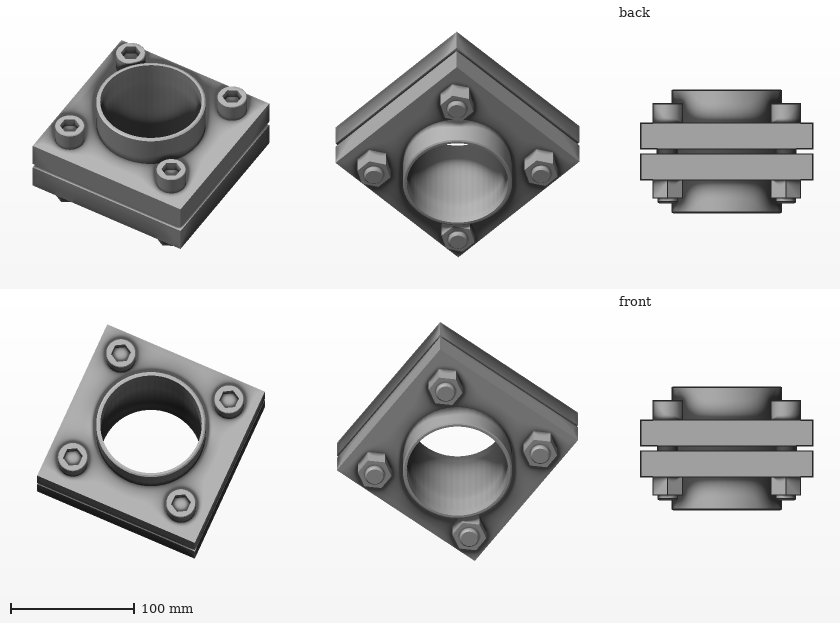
import cadquery as cq
import math

flange_side = 140.0
flange_thickness = 21.0
flange_gap = 4.0
ring_diameter = 113.0

overall_height = 100.0
pipe_diameter = 88.9
bore_diameter = 82.5
rim_chamfer_height = 0.7
rim_chamfer_width = 1.3

bolt_spacing = 96.0
bolt_diameter = 16.0
bolt_end_chamfer = 1.3
bolt_protrusion = 4.0
head_diameter = 24.0
head_height = 16.0
head_chamfer = 0.5
socket_flats = 14.0
socket_depth = 8.0
nut_flats = 24.0
nut_height = 14.8

flange_inner_level = flange_gap / 2
flange_outer_level = flange_inner_level + flange_thickness
head_top_level = flange_outer_level + head_height
nut_bottom_level = -flange_outer_level - nut_height
bolt_end_level = nut_bottom_level - bolt_protrusion


def cylinder(diameter, bottom, top):
    """Vertical cylinder on the Z axis between two levels."""
    return cq.Workplane("XY").workplane(offset=bottom).circle(diameter / 2).extrude(top - bottom)


def hexagon_prism(flats, bottom, top):
    """Vertical hexagonal prism with one pair of flats facing along X."""
    corner_diameter = flats / math.cos(math.radians(30))
    return (
        cq.Workplane("XY")
        .workplane(offset=bottom)
        .transformed(rotate=(0, 0, 90))
        .polygon(6, corner_diameter)
        .extrude(top - bottom)
    )


def flange(bottom):
    """Square flange plate standing on the given level."""
    return (
        cq.Workplane("XY")
        .workplane(offset=bottom)
        .rect(flange_side, flange_side)
        .extrude(flange_thickness)
    )


def pipe():
    """Solid pipe body with both outer rims chamfered, before boring."""
    half_height = overall_height / 2
    radius = pipe_diameter / 2
    rim_radius = radius - rim_chamfer_width
    return (
        cq.Workplane("XZ")
        .moveTo(0, -half_height)
        .lineTo(rim_radius, -half_height)
        .lineTo(radius, -half_height + rim_chamfer_height)
        .lineTo(radius, half_height - rim_chamfer_height)
        .lineTo(rim_radius, half_height)
        .lineTo(0, half_height)
        .close()
        .revolve(360, (0, 0, 0), (0, 1, 0))
    )


def bolt():
    """Socket head bolt with its nut, on the Z axis."""
    shank = cylinder(bolt_diameter, bolt_end_level, flange_outer_level)
    shank = shank.faces("<Z").edges().chamfer(bolt_end_chamfer)
    head = cylinder(head_diameter, flange_outer_level, head_top_level)
    head = head.faces(">Z").edges().chamfer(head_chamfer)
    socket = hexagon_prism(socket_flats, head_top_level - socket_depth, head_top_level)
    nut = hexagon_prism(nut_flats, nut_bottom_level, -flange_outer_level)
    return shank.union(head.cut(socket)).union(nut)


result = flange(flange_inner_level).union(flange(-flange_outer_level))
result = result.union(cylinder(ring_diameter, -flange_inner_level, flange_inner_level))
result = result.union(pipe())
result = result.cut(cylinder(bore_diameter, -overall_height / 2, overall_height / 2))

for x_side in (-1, 1):
    for y_side in (-1, 1):
        bolt_position = (x_side * bolt_spacing / 2, y_side * bolt_spacing / 2, 0)
        result = result.union(bolt().translate(bolt_position))